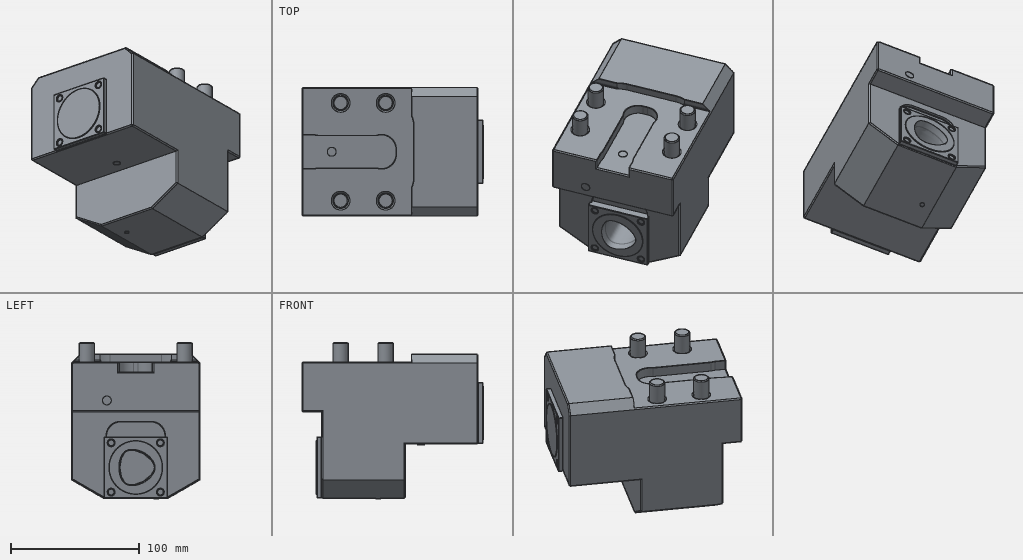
import cadquery as cq
import math

UP = (0, 0, 1)
DOWN = (0, 0, -1)
IN = (1, 0, 0)
OUT = (-1, 0, 0)
TOLERANCE = 0.001

WIDTH = 100.0
BODY_END = 136.8
DECK_Z = 105.9
HEAD_Z = 112.0
HEAD_X = 85.0
ARM_Z = 67.1
COLUMN_X0 = 15.2
COLUMN_X1 = 80.4
OVERHANG_Z = 42.2
EDGE = 1.0
FINE_EDGE = 0.35
COLUMN_FOOT_WIDTH = 49.9
FOOT_BEVEL_ANGLE = 30.0
BEVEL_START_Z = DECK_Z - EDGE

RECESS_DEPTH = 1.7
RECESS_HALF_WIDTH = 20.2
RECESS_CORNER_R = 18.3
UNDERCUT_DEPTH = 0.4
UNDERCUT_LOW = 0.5
UNDERCUT_HIGH = 2.0

SCREW_D = 12.0
SCREW_TOP = 121.0
SCREW_X = (30.0, 65.0)
SCREW_Y = 37.9
SCREW_HOLE_D = 14.5
SCREW_EDGE = 0.8

SLOT_ENTRY_WIDTH = 26.2
SLOT_WIDTH = 25.0
SLOT_DEPTH = 7.8
SLOT_END = 73.0
SLOT_END_R = 11.3
SLOT_ENTRY_LENGTH = 9.0
SLOT_TAPER_END = 12.4

PLUG_D = 6.9
PLUG_RECESS = 0.3
SLOT_PLUG_X = 23.1
ARM_PLUG_Y = 22.4
ARM_PLUG_Z = 76.0
STUD_HEIGHT = 0.5
FOOT_STUD_D = 3.5
FOOT_STUD_X = 59.2
FOOT_STUD_Y = -15.8
OVERHANG_STUD_D = 5.6
OVERHANG_STUD_X = 92.3

AXIS_RISE = 24.0
PLATE_WIDTH = 49.2
PLATE_HEIGHT = 47.4
PLATE_THICKNESS = 3.7
PLATE_EDGE = 0.4
DISC_D = 41.7
DISC_HEIGHT = 0.5
DISC_EDGE = 0.3
BOLT_PITCH = 38.2
BOLT_D = 6.0
BOLT_SOCKET_D = 4.5
BOLT_RECESS = 0.4

SOCKET_R = 14.1
SOCKET_LOBE = 0.92
SOCKET_POINTS = 36
SOCKET_TAPER_DEPTH = 5.6
BORE_R = 13.4
BORE_LOBE = 1.1
SOCKET_DEPTH = 29.6

RELIEF_WIDTH = 46.2
RELIEF_TOP = 59.8
RELIEF_R = 11.3
RELIEF_DEPTH = 2.1
RELIEF_EDGE = 0.5


def cylinder(diameter, base, direction, height):
    """Cylinder from a base centre point along a direction."""
    return cq.Workplane(cq.Solid.makeCylinder(diameter / 2, height, cq.Vector(*base), cq.Vector(*direction)))


def side_prism(points, width):
    """XZ outline extruded symmetrically about Y = 0."""
    return cq.Workplane("XZ").polyline(points).close().extrude(width / 2, both=True)


def make_block():
    """Block whose side outline is cut to the beveled cross-section seen along X."""
    outline = [
        (0, ARM_Z),
        (COLUMN_X0, ARM_Z),
        (COLUMN_X0, 0),
        (COLUMN_X1, 0),
        (COLUMN_X1, OVERHANG_Z),
        (BODY_END, OVERHANG_Z),
        (BODY_END, HEAD_Z),
        (HEAD_X, HEAD_Z),
        (HEAD_X, DECK_Z),
        (0, DECK_Z),
    ]
    half_width = WIDTH / 2
    half_foot = COLUMN_FOOT_WIDTH / 2
    foot_rise = (half_width - half_foot) * math.tan(math.radians(FOOT_BEVEL_ANGLE))
    half_head = half_width - (HEAD_Z - BEVEL_START_Z)
    cross_section = [
        (-half_foot, 0),
        (half_foot, 0),
        (half_width, foot_rise),
        (half_width, BEVEL_START_Z),
        (half_head, HEAD_Z),
        (-half_head, HEAD_Z),
        (-half_width, BEVEL_START_Z),
        (-half_width, foot_rise),
    ]
    section_bar = cq.Workplane("YZ").polyline(cross_section).close().extrude(BODY_END)
    return side_prism(outline, WIDTH).intersect(section_bar)


def make_slot():
    """Open-ended key slot with a slightly wider mouth and relieved end corners."""
    half_entry = SLOT_ENTRY_WIDTH / 2
    half_slot = SLOT_WIDTH / 2
    corner_x = SLOT_END - SLOT_END_R
    corner_y = half_entry - SLOT_END_R
    floor = DECK_Z - SLOT_DEPTH
    channel = [
        (0, -half_entry),
        (SLOT_ENTRY_LENGTH, -half_entry),
        (SLOT_TAPER_END, -half_slot),
        (corner_x, -half_slot),
        (corner_x, half_slot),
        (SLOT_TAPER_END, half_slot),
        (SLOT_ENTRY_LENGTH, half_entry),
        (0, half_entry),
    ]
    slot = cq.Workplane("XY", origin=(0, 0, floor)).polyline(channel).close().extrude(SLOT_DEPTH)
    end_web = cq.Workplane("XY").box(SLOT_END_R, 2 * corner_y, SLOT_DEPTH, centered=(False, True, False))
    slot = slot.union(end_web.translate((corner_x, 0, floor)))
    for side in (-1, 1):
        slot = slot.union(cylinder(2 * SLOT_END_R, (corner_x, side * corner_y, floor), UP, SLOT_DEPTH))
    return slot


def make_step_cut():
    """Pocket in the middle of the head's front wall and the undercuts on either side of it."""
    wall_x = HEAD_X + RECESS_DEPTH
    arc_rise = math.sqrt(RECESS_CORNER_R**2 - (RECESS_CORNER_R - RECESS_DEPTH) ** 2)
    half_mouth = RECESS_HALF_WIDTH + arc_rise
    half_turn = math.acos(1 - RECESS_DEPTH / RECESS_CORNER_R) / 2
    mid_x = wall_x - RECESS_CORNER_R * (1 - math.cos(half_turn))
    mid_y = RECESS_HALF_WIDTH + RECESS_CORNER_R * math.sin(half_turn)
    pocket = (
        cq.Workplane("XY", origin=(0, 0, DECK_Z))
        .moveTo(HEAD_X, -half_mouth)
        .threePointArc((mid_x, -mid_y), (wall_x, -RECESS_HALF_WIDTH))
        .lineTo(wall_x, RECESS_HALF_WIDTH)
        .threePointArc((mid_x, mid_y), (HEAD_X, half_mouth))
        .close()
        .extrude(HEAD_Z - DECK_Z)
    )
    undercut = [
        (HEAD_X, DECK_Z),
        (HEAD_X + UNDERCUT_DEPTH, DECK_Z + UNDERCUT_LOW),
        (HEAD_X, DECK_Z + UNDERCUT_HIGH),
    ]
    return pocket.union(side_prism(undercut, WIDTH))


def add_screws(body):
    """Chamfered screw ends rising through countersunk holes in the deck."""
    sink_depth = (SCREW_HOLE_D - SCREW_D) / 2
    for x in SCREW_X:
        for y in (-SCREW_Y, SCREW_Y):
            sink_base = cq.Vector(x, y, DECK_Z - sink_depth)
            sink = cq.Solid.makeCone(SCREW_D / 2, SCREW_HOLE_D / 2, sink_depth, sink_base, cq.Vector(*UP))
            base_z = DECK_Z - 2 * sink_depth
            screw = cylinder(SCREW_D, (x, y, base_z), UP, SCREW_TOP - base_z)
            body = body.cut(cq.Workplane(sink)).union(screw.faces(">Z").chamfer(SCREW_EDGE))
    return body


def make_flange():
    """Plate facing -X with its back at X = 0, a raised disc and four stepped bolt recesses."""
    plate = (
        cq.Workplane("XY")
        .box(PLATE_THICKNESS, PLATE_WIDTH, PLATE_HEIGHT)
        .translate((-PLATE_THICKNESS / 2, 0, 0))
        .edges("<X or |X or (|Z and >X)")
        .chamfer(PLATE_EDGE)
    )
    disc = cylinder(DISC_D, (-PLATE_THICKNESS, 0, 0), OUT, DISC_HEIGHT).faces("<X").chamfer(DISC_EDGE)
    flange = plate.union(disc)
    for y in (-BOLT_PITCH / 2, BOLT_PITCH / 2):
        for z in (-BOLT_PITCH / 2, BOLT_PITCH / 2):
            face = (-PLATE_THICKNESS, y, z)
            ring = cylinder(BOLT_D, face, IN, BOLT_RECESS)
            socket = cylinder(BOLT_SOCKET_D, face, IN, 2 * BOLT_RECESS)
            flange = flange.cut(ring).cut(socket)
    return flange


def lobed_outline(plane, radius, lobe):
    """Closed three-lobed curve of constant width with one lobe toward -Y."""
    points = []
    for step in range(SOCKET_POINTS):
        angle = 2 * math.pi * step / SOCKET_POINTS
        reach = radius + lobe * math.cos(3 * angle)
        slope = -3 * lobe * math.sin(3 * angle)
        y = slope * math.sin(angle) - reach * math.cos(angle)
        z = reach * math.sin(angle) + slope * math.cos(angle)
        points.append((y, z))
    return plane.spline(points, periodic=True).wire()


def make_socket():
    """Tool socket running toward +X from the disc face at X = 0: a tapered mouth, then straight."""
    mouth = cq.Workplane("YZ")
    mouth = lobed_outline(mouth, SOCKET_R, SOCKET_LOBE).workplane(offset=SOCKET_TAPER_DEPTH)
    mouth = lobed_outline(mouth, BORE_R, BORE_LOBE).loft(ruled=True)
    bore = cq.Workplane("YZ", origin=(SOCKET_TAPER_DEPTH, 0, 0))
    bore = lobed_outline(bore, BORE_R, BORE_LOBE).extrude(SOCKET_DEPTH - SOCKET_TAPER_DEPTH)
    return mouth.union(bore)


def make_relief():
    """Pocket in the column face above the flange, with round shoulders and a tapered floor rim."""
    plate_top = AXIS_RISE + PLATE_HEIGHT / 2
    return (
        cq.Workplane("XY")
        .box(RELIEF_DEPTH, RELIEF_WIDTH, RELIEF_TOP - plate_top, centered=(False, True, False))
        .edges("|X and >Z")
        .fillet(RELIEF_R)
        .faces(">X")
        .edges("not <Z")
        .chamfer(RELIEF_EDGE)
        .translate((COLUMN_X0, 0, plate_top))
    )


def lies_at(low, high, value):
    """True when a range is flat and sits at the given value."""
    return abs(low - value) < TOLERANCE and abs(high - value) < TOLERANCE


def is_broken_edge(edge):
    """True for the outer edges of the end faces and the long lower edges of arm and overhang."""
    box = edge.BoundingBox()
    concave = any(
        lies_at(box.xmin, box.xmax, x) and lies_at(box.zmin, box.zmax, z)
        for x, z in ((COLUMN_X0, ARM_Z), (COLUMN_X1, OVERHANG_Z))
    )
    on_end_face = any(lies_at(box.xmin, box.xmax, x) for x in (0, COLUMN_X0, COLUMN_X1, BODY_END))
    on_side = any(lies_at(box.ymin, box.ymax, y) for y in (-WIDTH / 2, WIDTH / 2))
    on_underside = any(lies_at(box.zmin, box.zmax, z) for z in (ARM_Z, OVERHANG_Z))
    return not concave and (on_end_face or (on_side and on_underside))


def is_fine_edge(edge):
    """True for the rim of the key slot and the top edges of the head's front wall."""
    box = edge.BoundingBox()
    on_deck = lies_at(box.zmin, box.zmax, DECK_Z)
    slot_rim = on_deck and box.xmax < HEAD_X - TOLERANCE and abs(box.center.y) < SLOT_ENTRY_WIDTH
    head_edge = lies_at(box.zmin, box.zmax, HEAD_Z) and box.xmax < HEAD_X + RECESS_DEPTH + TOLERANCE
    return slot_rim or head_edge


body = make_block().cut(make_slot())
broken_edges = [edge for edge in body.edges().vals() if is_broken_edge(edge)]
body = body.newObject(broken_edges).chamfer(EDGE)
body = body.cut(make_step_cut()).cut(make_relief())
fine_edges = [edge for edge in body.edges().vals() if is_fine_edge(edge)]
body = body.newObject(fine_edges).chamfer(FINE_EDGE)
body = add_screws(body)

body = body.cut(cylinder(PLUG_D, (SLOT_PLUG_X, 0, DECK_Z - SLOT_DEPTH), DOWN, PLUG_RECESS))
body = body.cut(cylinder(PLUG_D, (0, ARM_PLUG_Y, ARM_PLUG_Z), IN, PLUG_RECESS))
body = body.union(cylinder(FOOT_STUD_D, (FOOT_STUD_X, FOOT_STUD_Y, 0), DOWN, STUD_HEIGHT))
body = body.union(cylinder(OVERHANG_STUD_D, (OVERHANG_STUD_X, 0, OVERHANG_Z), DOWN, STUD_HEIGHT))

flange = make_flange()
left_flange = flange.translate((COLUMN_X0, 0, AXIS_RISE))
right_flange = flange.rotate((0, 0, 0), (0, 0, 1), 180).translate((BODY_END, 0, OVERHANG_Z + AXIS_RISE))
socket = make_socket().translate((COLUMN_X0 - PLATE_THICKNESS - DISC_HEIGHT, 0, AXIS_RISE))
result = body.union(left_flange).union(right_flange).cut(socket)